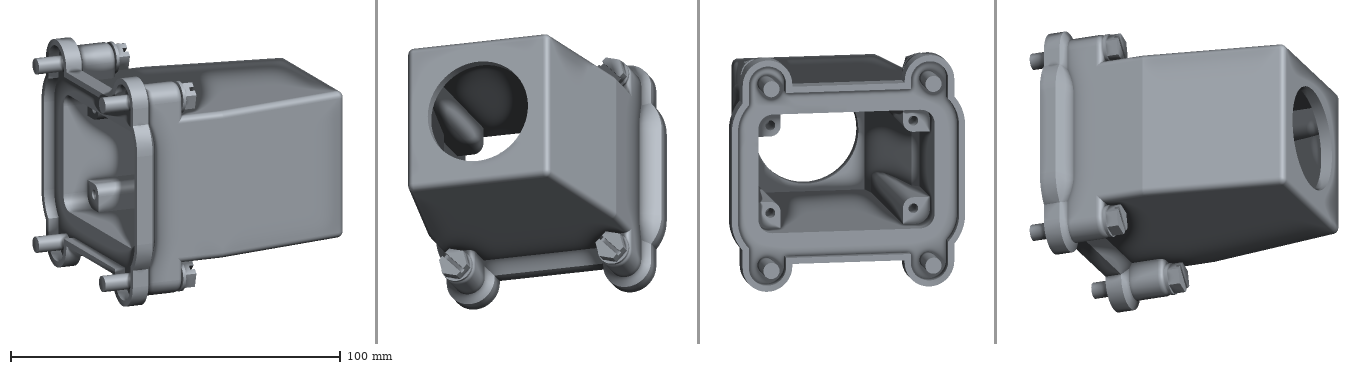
import cadquery as cq
import math


body_width = 60.0
body_height = 46.1
body_depth = 74.7
taper_start = 31.2
back_width = 45.0
edge_radius = 1.95
cable_hole_diameter = 32.0

flange_width = 72.0
flange_height = 54.7
flange_corner_radius = 13.5
flange_thickness = 5.1
flange_slope_angle = 60
lobe_radius = 7.65
lobe_span_height = 71.4
recess_inset = 1.9
recess_depth = 3.4

cavity_width = 54.4
cavity_height = 36.65
cavity_corner_radius = 4.5
cavity_depth = 71.2
left_slope_start = 34.05
left_back_x = -20.7
step_start = 28.9
step_size = 2.1
right_back_x = 17.9

boss_front = 11.3
boss_inner_x = 18.9
boss_inner_z = 10.1
boss_corner_radius = 3.25
boss_hole_x = 22.1
boss_hole_z = 13.5
boss_hole_diameter = 3.0
boss_hole_depth = 9.8

screw_x = 25.0
post_height = 18.0
washer_diameter = 9.8
washer_thickness = 1.0
hex_across_flats = 8.0
head_height = 3.6
slot_width = 1.3
slot_depth = 1.55
head_turn = 45
pin_diameter = 5.0
pin_protrusion = 6.8

screw_z = lobe_span_height / 2 - lobe_radius
post_width = body_width - 2 * screw_x
cavity_side = cavity_width / 2
slope_height = (flange_width - body_width) / 2 / math.tan(math.radians(flange_slope_angle))
screw_positions = [(sx * screw_x, sz * screw_z) for sx in (-1, 1) for sz in (-1, 1)]


def section_at(y):
    """Workplane parallel to the mouth; a negative extrusion runs toward +Y."""
    return cq.Workplane("XZ", origin=(0, y, 0))


def rounded_block(y, depth, width, height, radius):
    block = section_at(y).rect(width, height).extrude(-depth)
    return block.edges("|Y").fillet(radius)


def lobe_bars(y, depth, radius, taper=0):
    """Two vertical bars with round ends centred on the screws."""
    bars = section_at(y).pushPoints([(-screw_x, 0), (screw_x, 0)])
    return bars.slot2D(2 * (screw_z + radius), 2 * radius, 90).extrude(-depth, taper=taper)


def make_shell():
    half_width = body_width / 2
    half_back = back_width / 2
    outline = [
        (-half_width, 0),
        (half_width, 0),
        (half_width, taper_start),
        (half_back, body_depth),
        (-half_back, body_depth),
        (-half_width, taper_start),
    ]
    shell = cq.Workplane("XY").polyline(outline).close().extrude(body_height / 2, both=True)
    return shell.edges("not(<Y)").fillet(edge_radius)


def make_flange():
    plate = rounded_block(0, flange_thickness, flange_width, flange_height, flange_corner_radius)
    plate = plate.union(lobe_bars(0, flange_thickness, lobe_radius))
    lobe_slope_height = slope_height * (2 * lobe_radius - post_width) / (flange_width - body_width)
    lobe_slope = lobe_bars(flange_thickness, lobe_slope_height, lobe_radius, flange_slope_angle)
    return plate.union(plate_slope()).union(lobe_slope)


def plate_slope():
    sketch = cq.Sketch().rect(flange_width, flange_height).vertices().fillet(flange_corner_radius)
    return section_at(flange_thickness).placeSketch(sketch).extrude(-slope_height, taper=flange_slope_angle)


def make_recess():
    width = flange_width - 2 * recess_inset
    height = flange_height - 2 * recess_inset
    recess = rounded_block(0, recess_depth, width, height, flange_corner_radius - recess_inset)
    return recess.union(lobe_bars(0, recess_depth, lobe_radius - recess_inset))


def make_posts():
    posts = lobe_bars(recess_depth, post_height - recess_depth, post_width / 2)
    return posts.faces(">Y").edges().fillet(edge_radius)


def make_cavity():
    step_x = cavity_side - step_size
    outline = [
        (-cavity_side, 0),
        (cavity_side, 0),
        (cavity_side, step_start),
        (step_x, step_start + step_size),
        (right_back_x, cavity_depth),
        (left_back_x, cavity_depth),
        (-cavity_side, left_slope_start),
    ]
    cavity = cq.Workplane("XY").polyline(outline).close().extrude(cavity_height / 2, both=True)
    mouth = rounded_block(0, cavity_depth, cavity_width, cavity_height, cavity_corner_radius)
    return cavity.intersect(mouth).cut(make_bosses())


def make_bosses():
    """Four corner columns that stay solid when the cavity is cut."""
    length = cavity_depth - boss_front
    columns = section_at(boss_front).rect(cavity_width, cavity_height).extrude(-length)
    wide_gap = section_at(boss_front).rect(2 * boss_inner_x, cavity_height).extrude(-length)
    tall_gap = section_at(boss_front).rect(cavity_width, 2 * boss_inner_z).extrude(-length)
    columns = columns.cut(wide_gap).cut(tall_gap)
    inner_edges = cq.selectors.BoxSelector(
        (-boss_inner_x - boss_corner_radius, 0, -boss_inner_z - boss_corner_radius),
        (boss_inner_x + boss_corner_radius, body_depth, boss_inner_z + boss_corner_radius),
    )
    return columns.edges("|Y").edges(inner_edges).fillet(boss_corner_radius)


def make_boss_holes():
    holes = section_at(boss_front).rect(2 * boss_hole_x, 2 * boss_hole_z, forConstruction=True)
    return holes.vertices().circle(boss_hole_diameter / 2).extrude(-boss_hole_depth)


def make_screw():
    """Slotted hexagon screw on the Y axis, with its washer and threaded end."""
    head_base = post_height + washer_thickness
    head_top = head_base + head_height
    pin = section_at(-pin_protrusion).circle(pin_diameter / 2).extrude(-post_height - pin_protrusion)
    washer = section_at(post_height).circle(washer_diameter / 2).extrude(-washer_thickness)
    hexagon = section_at(head_base).polygon(6, hex_across_flats, circumscribed=True).extrude(-head_height)
    slot = section_at(head_top).rect(2 * hex_across_flats, slot_width).extrude(slot_depth)
    head = hexagon.cut(slot).rotate((0, 0, 0), (0, -1, 0), head_turn)
    return pin.union(washer).union(head)


hood = make_shell().union(make_flange())
hood = hood.cut(make_recess()).union(make_posts())
hood = hood.cut(make_cavity()).cut(make_boss_holes())
hood = hood.cut(section_at(0).circle(cable_hole_diameter / 2).extrude(-body_depth))

screw = make_screw()
for x, z in screw_positions:
    hood = hood.union(screw.translate((x, 0, z)))

result = hood